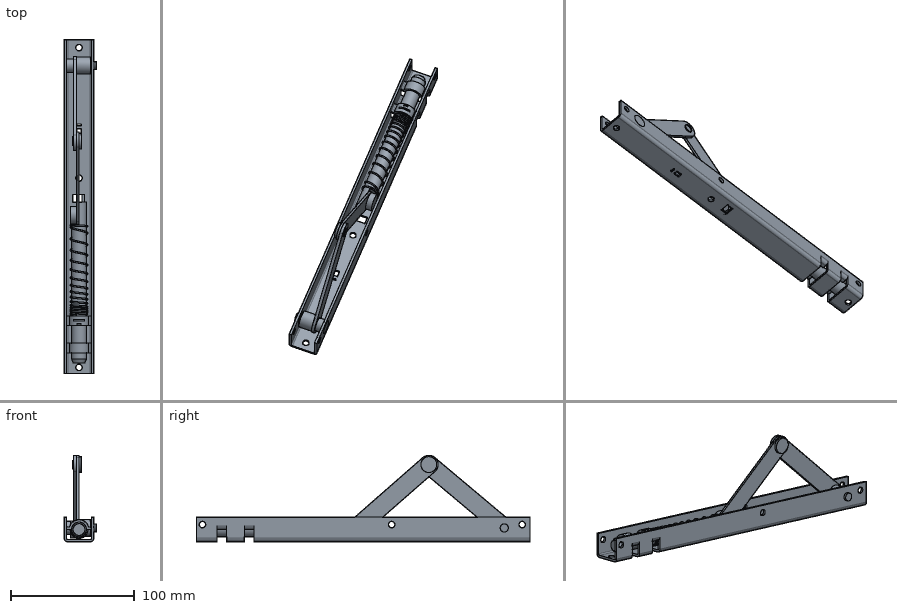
import cadquery as cq
import math

CHANNEL_LENGTH = 270.0
CHANNEL_WIDTH = 24.0
CHANNEL_HEIGHT = 20.0
SHEET = 2.0
BEND_INNER = 1.0
BEND_OUTER = BEND_INNER + SHEET
INNER_HALF = CHANNEL_WIDTH / 2 - SHEET

SCREW_HOLE = 5.0
SCREW_HOLE_Y = (5.0, CHANNEL_LENGTH - 112.0, CHANNEL_LENGTH - 6.5)
SCREW_HOLE_Z = 14.0

ROD_DIAMETER = 12.0
ROD_Z = 10.0
ROD_FRONT_Y = 8.6
ROD_BACK_Y = 138.6
ROD_TIP_DIAMETER = 9.5
ROD_TIP_LENGTH = 3.0
ROD_FLAT_FRONT_Y = 120.4

STRAP_FRONT_Y = (16.8, 38.8)
STRAP_LENGTH = 7.8
STRAP_INNER_RADIUS = ROD_DIAMETER / 2
STRAP_OUTER_RADIUS = STRAP_INNER_RADIUS + SHEET
STRAP_WINDOW_TOP = ROD_Z + BEND_OUTER

STRAP_SLITS = ((9.2, 1.2, 43.0), (3.2, 1.2, 39.8))

STOP_SLOT_LEFT = -5.0
STOP_SLOT_RIGHT = 4.6
STOP_SLOT_LENGTH = 6.0
STOP_LEDGE_WIDTH = 2.2
STOP_LEDGE_DROP = 1.0
LATCH_WIDTH = 3.6
LATCH_HOLE_LENGTH = 5.0
LATCH_HOLE_Y = 195.3
LATCH_SLIT_LENGTH = 1.2
LATCH_SLIT_Y = 201.0

LINK_WIDTH = 15.0
ROCKER_THICKNESS = 2.5
PUSH_LINK_THICKNESS = 2.0
PUSH_LINK_LEFT = -PUSH_LINK_THICKNESS
ROCKER_LEFT = PUSH_LINK_LEFT - ROCKER_THICKNESS

ANCHOR_Y, ANCHOR_Z = 249.0, 11.3
APEX_Y, APEX_Z = 188.0, 62.5
SLIDER_Y, SLIDER_Z = 128.1, ROD_Z

ANCHOR_PIN_DIAMETER = 11.0
ANCHOR_COLLAR_DIAMETER = 13.8
ANCHOR_COLLAR_GAP = 0.8
ANCHOR_HEAD_DIAMETER = 6.6
ANCHOR_HEAD_HEIGHT = 2.0

RIVET_DIAMETER = 7.0
RIVET_STANDOUT = 0.7
RIVET_HEAD_DIAMETER = 12.8
RIVET_HEAD_HEIGHT = 2.0

SLIDER_PIN_DIAMETER = 6.0
SLIDER_PIN_DEPTH = 4.0
SLIDER_HEAD_DIAMETER = 14.0
SLIDER_HEAD_HEIGHT = 5.0

WIRE_DIAMETER = 1.1
WIRE_CLEARANCE = 0.05
COIL_RADIUS = ROD_DIAMETER / 2 + WIRE_DIAMETER / 2 + WIRE_CLEARANCE
SPRING_BACK_Y = 119.9
SPRING_FRONT_Y = max(STRAP_FRONT_Y) + STRAP_LENGTH + WIRE_DIAMETER / 2 + WIRE_CLEARANCE
DEAD_TURNS = 1.0
OPEN_TURNS = 11.5
CLOSE_PITCH = 1.4
OPEN_PITCH = 10.1
POINTS_PER_TURN = 12


def box(x_min, x_max, y_min, y_max, z_min, z_max):
    """Block given by its limits along each axis."""
    size = (x_max - x_min, y_max - y_min, z_max - z_min)
    return cq.Workplane("XY").box(*size, centered=False).translate((x_min, y_min, z_min))


def x_cylinder(diameter, x_min, x_max, y, z):
    """Cylinder along X between two X positions."""
    return (
        cq.Workplane("YZ", origin=(x_min, y, z))
        .circle(diameter / 2)
        .extrude(x_max - x_min)
    )


def strap(front_y):
    """Arch over the rod whose feet bend up into the side walls."""
    half = CHANNEL_WIDTH / 2
    foot_top = ROD_Z + SHEET
    bend_x = half - BEND_OUTER
    bend_z = STRAP_WINDOW_TOP
    diagonal = math.sqrt(0.5)
    arch_foot_x = math.sqrt(STRAP_OUTER_RADIUS**2 - SHEET**2)
    outer_mid = (bend_x + BEND_OUTER * diagonal, bend_z - BEND_OUTER * diagonal)
    inner_mid = (bend_x + BEND_INNER * diagonal, bend_z - BEND_INNER * diagonal)
    return (
        cq.Workplane("XZ", origin=(0, front_y + STRAP_LENGTH, 0))
        .moveTo(-half, bend_z)
        .threePointArc((-outer_mid[0], outer_mid[1]), (-bend_x, ROD_Z))
        .lineTo(-STRAP_INNER_RADIUS, ROD_Z)
        .threePointArc((0, ROD_Z + STRAP_INNER_RADIUS), (STRAP_INNER_RADIUS, ROD_Z))
        .lineTo(bend_x, ROD_Z)
        .threePointArc(outer_mid, (half, bend_z))
        .lineTo(INNER_HALF, bend_z)
        .threePointArc(inner_mid, (bend_x, foot_top))
        .lineTo(arch_foot_x, foot_top)
        .threePointArc((0, ROD_Z + STRAP_OUTER_RADIUS), (-arch_foot_x, foot_top))
        .lineTo(-bend_x, foot_top)
        .threePointArc((-inner_mid[0], inner_mid[1]), (-INNER_HALF, bend_z))
        .close()
        .extrude(STRAP_LENGTH)
    )


def make_channel():
    half = CHANNEL_WIDTH / 2
    body = box(-half, half, 0, CHANNEL_LENGTH, 0, CHANNEL_HEIGHT)
    body = body.edges("|Y and <Z").fillet(BEND_OUTER)
    trough = box(-INNER_HALF, INNER_HALF, 0, CHANNEL_LENGTH, SHEET, CHANNEL_HEIGHT)
    body = body.cut(trough.edges("|Y and <Z").fillet(BEND_INNER))

    for y in SCREW_HOLE_Y:
        floor_hole = cq.Workplane("XY", origin=(0, y, 0)).circle(SCREW_HOLE / 2).extrude(SHEET)
        body = body.cut(floor_hole)
        body = body.cut(x_cylinder(SCREW_HOLE, -half, half, y, SCREW_HOLE_Z))

    for y in STRAP_FRONT_Y:
        body = body.cut(box(-half, half, y, y + STRAP_LENGTH, 0, STRAP_WINDOW_TOP))
        body = body.union(strap(y))
    for width, length, y in STRAP_SLITS:
        slit_top = ROD_Z + STRAP_OUTER_RADIUS
        body = body.cut(
            box(-width / 2, width / 2, y - length / 2, y + length / 2, ROD_Z, slit_top)
        )

    slot_back = ROD_BACK_Y + STOP_SLOT_LENGTH
    ledge_left = STOP_SLOT_RIGHT - STOP_LEDGE_WIDTH
    body = body.cut(box(STOP_SLOT_LEFT, ledge_left, ROD_BACK_Y, slot_back, 0, SHEET))
    ledge_z = SHEET - STOP_LEDGE_DROP
    body = body.cut(box(ledge_left, STOP_SLOT_RIGHT, ROD_BACK_Y, slot_back, ledge_z, SHEET))

    for length, y in ((LATCH_HOLE_LENGTH, LATCH_HOLE_Y), (LATCH_SLIT_LENGTH, LATCH_SLIT_Y)):
        opening = box(-LATCH_WIDTH / 2, LATCH_WIDTH / 2, y - length / 2, y + length / 2, 0, SHEET)
        body = body.cut(opening)

    return body.cut(make_anchor_pin())


def make_anchor_pin():
    half = CHANNEL_WIDTH / 2
    collar_end = INNER_HALF - ANCHOR_COLLAR_GAP
    shank = x_cylinder(ANCHOR_PIN_DIAMETER, -half, INNER_HALF, ANCHOR_Y, ANCHOR_Z)
    collar = x_cylinder(ANCHOR_COLLAR_DIAMETER, PUSH_LINK_LEFT, collar_end, ANCHOR_Y, ANCHOR_Z)
    head_end = half + ANCHOR_HEAD_HEIGHT
    head = x_cylinder(ANCHOR_HEAD_DIAMETER, INNER_HALF, head_end, ANCHOR_Y, ANCHOR_Z)
    return shank.union(collar).union(head)


def make_link(x_min, thickness, start, end):
    """Flat bar with round ends centred on two (Y, Z) pivots."""
    run = end[0] - start[0]
    rise = end[1] - start[1]
    middle = ((start[0] + end[0]) / 2, (start[1] + end[1]) / 2)
    return (
        cq.Workplane("YZ", origin=(x_min, middle[0], middle[1]))
        .transformed(rotate=(0, 0, math.degrees(math.atan2(rise, run))))
        .slot2D(math.hypot(run, rise) + LINK_WIDTH, LINK_WIDTH)
        .extrude(thickness)
    )


def make_rocker():
    bar = make_link(ROCKER_LEFT, ROCKER_THICKNESS, (ANCHOR_Y, ANCHOR_Z), (APEX_Y, APEX_Z))
    return bar.cut(make_anchor_pin()).cut(make_apex_rivet())


def make_push_link():
    bar = make_link(PUSH_LINK_LEFT, PUSH_LINK_THICKNESS, (APEX_Y, APEX_Z), (SLIDER_Y, SLIDER_Z))
    return bar.cut(make_apex_rivet()).cut(make_slider_pin())


def make_apex_rivet():
    shank = x_cylinder(RIVET_DIAMETER, ROCKER_LEFT - RIVET_STANDOUT, 0, APEX_Y, APEX_Z)
    return shank.union(x_cylinder(RIVET_HEAD_DIAMETER, 0, RIVET_HEAD_HEIGHT, APEX_Y, APEX_Z))


def make_slider_pin():
    head_left = PUSH_LINK_LEFT - SLIDER_HEAD_HEIGHT
    head = x_cylinder(SLIDER_HEAD_DIAMETER, head_left, PUSH_LINK_LEFT, SLIDER_Y, SLIDER_Z)
    shank = x_cylinder(SLIDER_PIN_DIAMETER, PUSH_LINK_LEFT, SLIDER_PIN_DEPTH, SLIDER_Y, SLIDER_Z)
    return head.union(shank)


def make_rod():
    """Round rod with a tapered front tip and its back end halved for the push link."""
    radius = ROD_DIAMETER / 2
    taper_back_y = ROD_FRONT_Y + ROD_TIP_LENGTH
    body = (
        cq.Workplane("XY")
        .polyline(
            [
                (0, ROD_FRONT_Y),
                (ROD_TIP_DIAMETER / 2, ROD_FRONT_Y),
                (radius, taper_back_y),
                (radius, ROD_BACK_Y),
                (0, ROD_BACK_Y),
            ]
        )
        .close()
        .revolve(360, (0, 0, 0), (0, 1, 0))
        .translate((0, 0, ROD_Z))
    )
    body = body.cut(
        box(-radius, 0, ROD_FLAT_FRONT_Y, ROD_BACK_Y, ROD_Z - radius, ROD_Z + radius)
    )
    return body.cut(make_slider_pin())


def spring_advance(turn):
    """Distance travelled along the axis after a number of turns from the back."""
    dead = min(turn, DEAD_TURNS)
    opened = min(max(turn - DEAD_TURNS, 0), OPEN_TURNS)
    closed = max(turn - DEAD_TURNS - OPEN_TURNS, 0)
    pitch_fall = (OPEN_PITCH - CLOSE_PITCH) / OPEN_TURNS
    open_travel = OPEN_PITCH * opened - pitch_fall * opened**2 / 2
    return CLOSE_PITCH * (dead + closed) + open_travel


def make_spring():
    travel = SPRING_BACK_Y - SPRING_FRONT_Y
    spread_turns = DEAD_TURNS + OPEN_TURNS
    turns = spread_turns + (travel - spring_advance(spread_turns)) / CLOSE_PITCH
    steps = round(turns * POINTS_PER_TURN)
    points = []
    for step in range(steps + 1):
        turn = turns * step / steps
        angle = 2 * math.pi * turn
        x = -COIL_RADIUS * math.cos(angle)
        z = ROD_Z + COIL_RADIUS * math.sin(angle)
        points.append(cq.Vector(x, SPRING_BACK_Y - spring_advance(turn), z))
    path = cq.Wire.assembleEdges([cq.Edge.makeSpline(points)])
    section = cq.Plane(origin=points[0], xDir=(1, 0, 0), normal=path.tangentAt(0))
    return cq.Workplane(section).circle(WIRE_DIAMETER / 2).sweep(cq.Workplane(path), isFrenet=True)


channel = make_channel()
anchor_pin = make_anchor_pin()
rocker = make_rocker()
push_link = make_push_link()
apex_rivet = make_apex_rivet()
slider_pin = make_slider_pin()
rod = make_rod()
spring = make_spring()

bodies = [channel, anchor_pin, rocker, push_link, apex_rivet, slider_pin, rod, spring]
result = cq.Compound.makeCompound([solid for body in bodies for solid in body.solids().vals()])